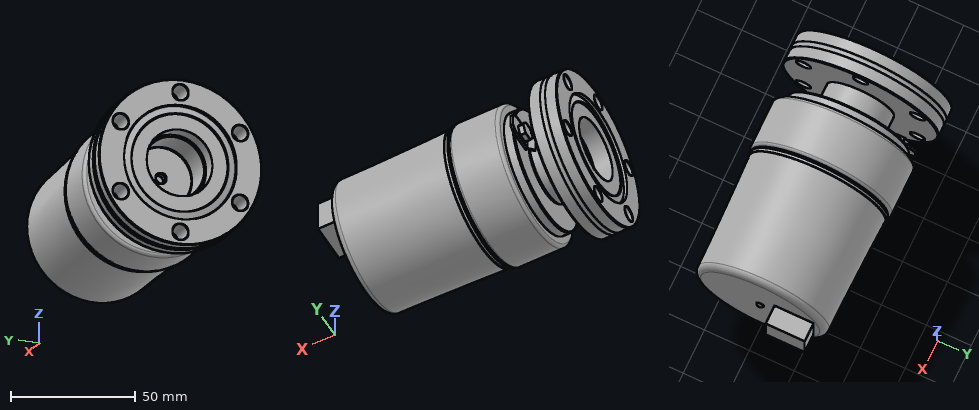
import cadquery as cq
import math


flange_dia = 69.5
flange_end = 13.1
flange_chamfer = 0.3
joint_groove_start = 5.3
joint_groove_end = 7.7
joint_groove_depth = 0.3

recess_dia = 48.0
recess_floor_dia = 47.1
recess_depth = 1.5
knife_dia = 42.0
knife_tip_width = 0.3
knife_depth = 0.7
inner_face_dia = 40.8
inner_face_depth = 1.2

bolt_count = 6
bolt_circle_dia = 58.7
bolt_hole_dia = 6.6
bolt_hole_mouth_dia = 7.0

bore_dia = 28.0
bore_step = 8.9
inner_bore_dia = 26.2
bore_floor_chamfer = 0.2
port_mouth_dia = 4.6
port_mouth_depth = 0.6
port_dia = 4.0
port_depth = 3.5

neck_dia = 30.0
neck_end = 23.5
neck_relief_dia = 29.0
disc_start = 24.1
disc_dia = 54.0
disc_chamfer = 0.5

collar_start = 28.5
collar_end = 51.7
collar_dia = 63.3
collar_fillet = 1.5

seam_dia = 61.0
ring_start = 52.4
ring_end = 54.0
ring_dia = 61.8
cover_end = 107.6
cover_start_dia = 61.1
cover_end_dia = 58.8
cover_fillet = 2.9

overall_length = 116.0
connector_center_y = 15.1
connector_width = 17.4
connector_height = 16.4
dome_dia = 3.4
dome_height = 1.0
dome_radius = ((dome_dia / 2) ** 2 + dome_height**2) / (2 * dome_height)

tab_thickness = 1.2
tab_width = 10.0
tab_top_y = 29.5
tab_tip_chamfer = 2.0
tab_bend_y = 17.3
tab_bottom_y = 16.8
lip_run = 2.3
lip_thickness = 0.7
bolt_head_center_y = 21.5
bolt_head_corner_dia = 8.0
bolt_head_height = 2.4
bolt_head_chamfer = 0.2


def x_cylinder(dia, start, end):
    return cq.Workplane("YZ").workplane(offset=start).circle(dia / 2).extrude(end - start)


def revolve_about_x(points):
    return cq.Workplane("XY").polyline(points).close().revolve(360, (0, 0, 0), (1, 0, 0))


def flange():
    body = x_cylinder(flange_dia, 0, flange_end).faces("<X or >X").edges().chamfer(flange_chamfer)
    groove = (
        cq.Workplane("XY")
        .moveTo(joint_groove_start, flange_dia / 2)
        .threePointArc(
            ((joint_groove_start + joint_groove_end) / 2, flange_dia / 2 - joint_groove_depth),
            (joint_groove_end, flange_dia / 2),
        )
        .close()
        .revolve(360, (0, 0, 0), (1, 0, 0))
    )
    recess = revolve_about_x([
        (0, 0),
        (0, recess_dia / 2),
        (recess_depth, recess_dia / 2),
        (recess_depth, recess_floor_dia / 2),
        (knife_depth, knife_dia / 2),
        (knife_depth, knife_dia / 2 - knife_tip_width),
        (inner_face_depth, inner_face_dia / 2),
        (inner_face_depth, 0),
    ])
    bolt_mouth_chamfer = (bolt_hole_mouth_dia - bolt_hole_dia) / 2
    bolt_holes = (
        cq.Workplane("YZ")
        .polarArray(bolt_circle_dia / 2, 90, 360, bolt_count)
        .circle(bolt_hole_dia / 2)
        .extrude(flange_end)
    )
    bolt_hole_mouths = (
        cq.Workplane("YZ")
        .polarArray(bolt_circle_dia / 2, 90, 360, bolt_count)
        .circle(bolt_hole_mouth_dia / 2)
        .extrude(bolt_mouth_chamfer, taper=45)
    )
    return body.cut(groove).cut(recess).cut(bolt_holes).cut(bolt_hole_mouths)


def neck_and_disc():
    neck = x_cylinder(neck_dia, flange_end, neck_end)
    relief = x_cylinder(neck_relief_dia, neck_end, disc_start)
    disc = x_cylinder(disc_dia, disc_start, collar_start).faces("<X").edges().chamfer(disc_chamfer)
    return neck.union(relief).union(disc)


def collar():
    return x_cylinder(collar_dia, collar_start, collar_end).edges().fillet(collar_fillet)


def cover():
    seam = x_cylinder(seam_dia, collar_end, ring_start)
    ring = x_cylinder(ring_dia, ring_start, ring_end)
    shell = revolve_about_x([
        (ring_end, 0),
        (ring_end, cover_start_dia / 2),
        (cover_end, cover_end_dia / 2),
        (cover_end, 0),
    ]).faces(">X").edges().fillet(cover_fillet)
    return seam.union(ring).union(shell)


def connector():
    return (
        cq.Workplane("YZ")
        .workplane(offset=cover_end)
        .center(connector_center_y, 0)
        .rect(connector_width, connector_height)
        .extrude(overall_length - cover_end)
    )


def indicator_dome():
    return (
        cq.Workplane("XY")
        .moveTo(cover_end, 0)
        .lineTo(cover_end + dome_height, 0)
        .radiusArc((cover_end, dome_dia / 2), -dome_radius)
        .close()
        .revolve(360, (0, 0, 0), (1, 0, 0))
    )


def earth_terminal():
    tab_front = disc_start - tab_thickness
    lip_tip_x = tab_front - lip_run
    lip_tip_y = tab_bend_y - lip_run
    lip_shift = lip_thickness / math.sqrt(2)
    lip_root_x = tab_front + 2 * lip_shift + tab_bottom_y - tab_bend_y
    tab = (
        cq.Workplane("XY")
        .polyline([
            (disc_start, tab_top_y),
            (tab_front, tab_top_y),
            (tab_front, tab_bend_y),
            (lip_tip_x, lip_tip_y),
            (lip_tip_x + lip_shift, lip_tip_y - lip_shift),
            (lip_root_x, tab_bottom_y),
            (disc_start, tab_bottom_y),
        ])
        .close()
        .extrude(tab_width / 2, both=True)
        .faces(">Y").edges("|X").chamfer(tab_tip_chamfer)
    )
    head_plane = (
        cq.Workplane("YZ")
        .workplane(offset=tab_front - bolt_head_height)
        .center(bolt_head_center_y, 0)
    )
    hexagon = head_plane.polygon(6, bolt_head_corner_dia).extrude(bolt_head_height)
    corner_trim = (
        head_plane.circle(bolt_head_corner_dia / 2)
        .extrude(bolt_head_height)
        .faces("<X")
        .edges()
        .chamfer(bolt_head_chamfer)
    )
    bolt_head = hexagon.intersect(corner_trim)
    return tab.union(bolt_head)


def bore():
    outer = x_cylinder(bore_dia, 0, bore_step)
    inner = x_cylinder(inner_bore_dia, bore_step, disc_start)
    inner = inner.faces(">X").edges().chamfer(bore_floor_chamfer)
    port = x_cylinder(port_dia, disc_start, disc_start + port_depth)
    port_mouth = x_cylinder(port_mouth_dia, disc_start, disc_start + port_mouth_depth)
    return outer.union(inner).union(port).union(port_mouth)


result = (
    flange()
    .union(neck_and_disc())
    .union(collar())
    .union(cover())
    .union(connector())
    .union(indicator_dome())
    .union(earth_terminal())
    .cut(bore())
)